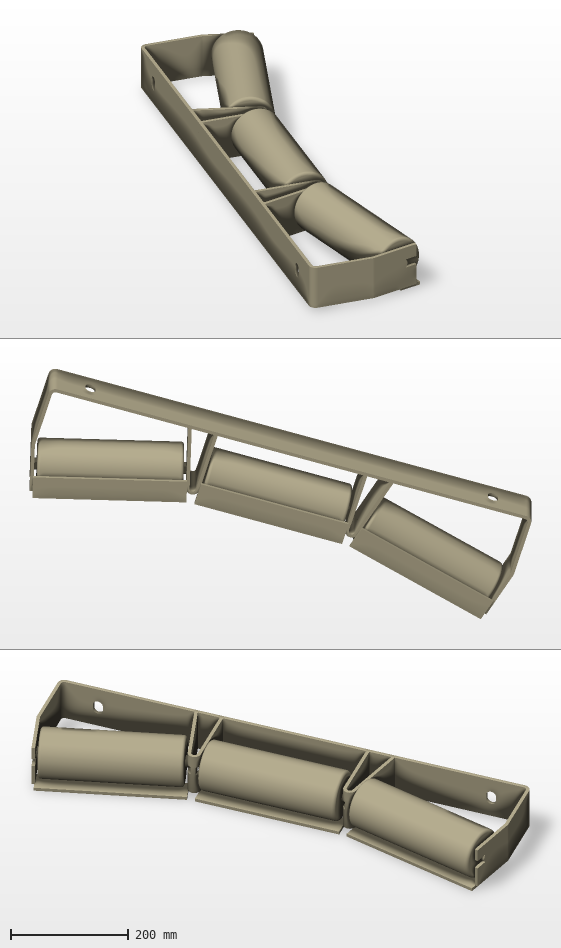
import cadquery as cq
import math

frame_length = 860.0
strip_height = 77.0
thickness = 6.0
inner_bend_radius = 6.0
mid_bend_radius = inner_bend_radius + thickness / 2

tilt = 15.0
kink_y = 113.5
wing_tip_y = 199.5

mount_hole_x = 359.0
mount_hole_width = 18.0
mount_hole_height = 26.0

roller_diameter = 89.5
roller_length = 250.0
roller_edge_radius = 5.0
shaft_diameter = 21.0
shaft_flat_width = 15.5
support_gap = 261.0
axis_z = 46.5
middle_roller_y = 100.0
side_roller_y = 136.0

bracket_bend_y = 114.0
under_strip_length = 263.0
under_strip_width = 39.5
under_strip_thickness = 6.0

sin_tilt = math.sin(math.radians(tilt))
cos_tilt = math.cos(math.radians(tilt))
tan_tilt = math.tan(math.radians(tilt))
shaft_half_length = support_gap / 2 + thickness
wall_mid_offset = (support_gap + thickness) / 2
side_roller_x = frame_length / 2 - (side_roller_y - kink_y) * tan_tilt - shaft_half_length / cos_tilt

roller_places = [
    (-side_roller_x, side_roller_y, -tilt),
    (0, middle_roller_y, 0),
    (side_roller_x, side_roller_y, tilt),
]


def place(body, x, y, angle):
    """Turn a body made around the origin about Z, then move it to its roller place."""
    return body.rotate((0, 0, 0), (0, 0, 1), angle).translate((x, y, 0))


def sweep_strip(path, start, direction):
    """Sweep the upright section of the sheet metal along its middle line."""
    section_plane = cq.Plane(
        origin=(start[0], start[1], strip_height / 2),
        xDir=(0, 0, 1),
        normal=(direction[0], direction[1], 0),
    )
    raised_path = path.translate((0, 0, strip_height / 2))
    section = cq.Workplane(section_plane).rect(strip_height, thickness)
    return section.sweep(raised_path, transition="right")


def make_shaft():
    """Round shaft along X, flattened above and below where it leaves the roller."""
    shaft = (
        cq.Workplane("YZ", origin=(-shaft_half_length, 0, axis_z))
        .circle(shaft_diameter / 2)
        .extrude(2 * shaft_half_length)
    )
    flat_depth = (shaft_diameter - shaft_flat_width) / 2
    flat_length = shaft_half_length - roller_length / 2
    flat_middle = (shaft_half_length + roller_length / 2) / 2
    for end in (-1, 1):
        for side in (-1, 1):
            waste_z = axis_z + side * (shaft_flat_width + flat_depth) / 2
            waste = cq.Workplane(origin=(end * flat_middle, 0, waste_z))
            shaft = shaft.cut(waste.box(flat_length, shaft_diameter, flat_depth))
    return shaft


def make_roller():
    """Roller with its shaft, lying along X with its centre above the origin."""
    drum = (
        cq.Workplane("YZ", origin=(-roller_length / 2, 0, axis_z))
        .circle(roller_diameter / 2)
        .extrude(roller_length)
        .edges()
        .fillet(roller_edge_radius)
    )
    return drum.union(make_shaft())


def make_under_strip():
    """Flat strip below the +Y half of a roller, reaching just under the walls at its ends."""
    return cq.Workplane(origin=(0, under_strip_width / 2, -under_strip_thickness / 2)).box(
        under_strip_length, under_strip_width, under_strip_thickness
    )


def make_slot_cutter():
    """Drop-in slots for one roller: closed by the shaft, open toward +Y."""
    slot_length = frame_length / 2
    slots = (
        cq.Workplane(origin=(0, slot_length / 2, axis_z))
        .pushPoints([(-wall_mid_offset, 0), (wall_mid_offset, 0)])
        .box(thickness, slot_length, shaft_flat_width)
    )
    return slots.union(make_shaft())


def cut_slots(body):
    """Open the slots of all rollers in a wall or bracket."""
    for x, y, angle in roller_places:
        body = body.cut(place(make_slot_cutter(), x, y, angle))
    return body


def make_frame():
    """Long wall with two bent-up ends, each with a leaning wing."""
    corner_x = (frame_length - thickness) / 2
    corner_y = thickness / 2
    mid_kink_y = kink_y - thickness / 2 * math.tan(math.radians(tilt / 2))
    tip_y = wing_tip_y - thickness / 2 * sin_tilt
    tip_x = corner_x - (tip_y - mid_kink_y) * tan_tilt
    half = [(corner_x, corner_y), (corner_x, mid_kink_y), (tip_x, tip_y)]
    points = [(-x, y) for x, y in reversed(half)] + half

    sharp_path = cq.Workplane().polyline(points).wire().val()
    bends = sharp_path.Vertices()[1:-1]
    path = cq.Workplane(sharp_path.fillet(mid_bend_radius, bends))
    frame = sweep_strip(path, points[0], (-sin_tilt, -cos_tilt))

    holes = (
        cq.Workplane("XZ", origin=(0, thickness, strip_height / 2))
        .pushPoints([(-mount_hole_x, 0), (mount_hole_x, 0)])
        .slot2D(mount_hole_height, mount_hole_width, 90)
        .extrude(thickness)
    )
    return frame.cut(holes)


def make_left_bracket():
    """Bent strip between the left and middle rollers, standing on the long wall."""
    upright_x = -wall_mid_offset
    leaning_offset = -side_roller_x * cos_tilt - side_roller_y * sin_tilt + wall_mid_offset
    bend_radius = (upright_x * cos_tilt - bracket_bend_y * sin_tilt - leaning_offset) / (1 + cos_tilt)
    bend_x = upright_x - bend_radius

    leaning_top = (bend_x - bend_radius * cos_tilt, bracket_bend_y + bend_radius * sin_tilt)
    leaning_foot = (leaning_top[0] - leaning_top[1] * tan_tilt, 0)
    path = (
        cq.Workplane()
        .moveTo(upright_x, 0)
        .lineTo(upright_x, bracket_bend_y)
        .threePointArc((bend_x, bracket_bend_y + bend_radius), leaning_top)
        .lineTo(*leaning_foot)
    )
    bracket = sweep_strip(path, (upright_x, 0), (0, 1))

    foot_waste = cq.Workplane(origin=(0, 0, strip_height / 2)).box(
        frame_length, 2 * thickness, strip_height
    )
    return cut_slots(bracket.cut(foot_waste))


frame = cut_slots(make_frame())
left_bracket = make_left_bracket()
brackets = [left_bracket, left_bracket.mirror("YZ")]
rollers = [place(make_roller(), x, y, angle) for x, y, angle in roller_places]
under_strips = [place(make_under_strip(), x, y, angle) for x, y, angle in roller_places]

bodies = [frame, *brackets, *rollers, *under_strips]
result = cq.Compound.makeCompound([body.solids().val() for body in bodies])